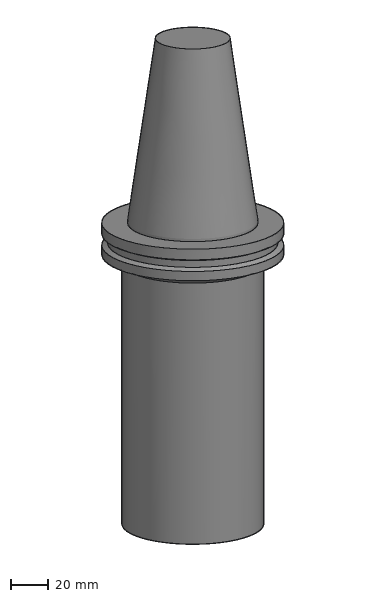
import cadquery as cq

total_height = 271.8
body_diameter = 76.0
flange_diameter = 97.5
groove_diameter = 91.3
gauge_diameter = 69.8

body_height = 146.2
neck_cone_height = 4.5
lower_rim_height = 5.2
groove_opening = 6.5
groove_floor = 3.8
upper_rim_height = 6.0
collar_height = 1.4
taper_ratio = 7 / 24

body_radius = body_diameter / 2
flange_radius = flange_diameter / 2
groove_radius = groove_diameter / 2
gauge_radius = gauge_diameter / 2

neck_radius = body_radius + neck_cone_height
groove_side_height = (groove_opening - groove_floor) / 2

flange_bottom = body_height + neck_cone_height
groove_bottom = flange_bottom + lower_rim_height
groove_top = groove_bottom + groove_opening
flange_top = groove_top + upper_rim_height
taper_bottom = flange_top + collar_height
taper_top_radius = gauge_radius - (total_height - taper_bottom) * taper_ratio / 2

half_section = [
    (0, 0),
    (body_radius, 0),
    (body_radius, body_height),
    (neck_radius, flange_bottom),
    (flange_radius, flange_bottom),
    (flange_radius, groove_bottom),
    (groove_radius, groove_bottom + groove_side_height),
    (groove_radius, groove_top - groove_side_height),
    (flange_radius, groove_top),
    (flange_radius, flange_top),
    (gauge_radius, flange_top),
    (gauge_radius, taper_bottom),
    (taper_top_radius, total_height),
    (0, total_height),
]

result = cq.Workplane("XZ").polyline(half_section).close().revolve(360, (0, 0, 0), (0, 1, 0))